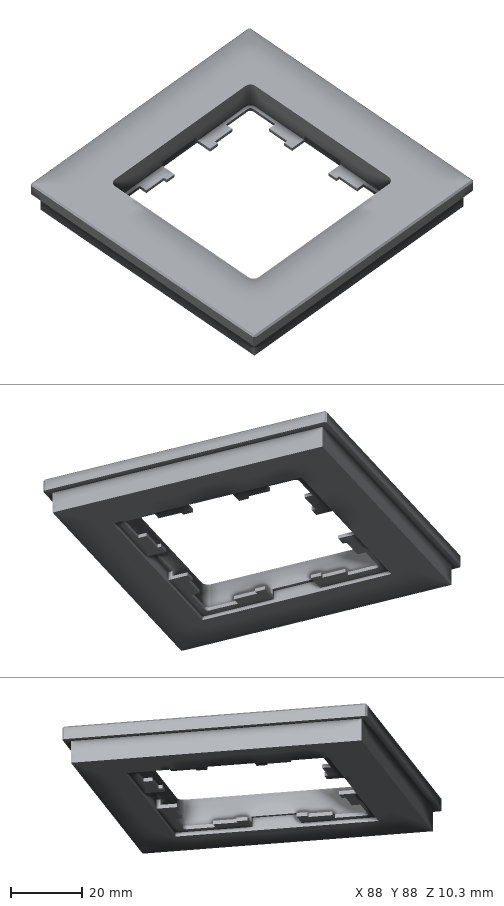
import cadquery as cq

PLATE_SIDE = 88.0
TOTAL_HEIGHT = 10.3
OPENING_SIDE = 56.2
OPENING_RADIUS = 2.0

PLATE_THICKNESS = 3.9
PLATE_CHAMFER = 0.5

FRAME_SIDE = 83.8
FRAME_HEIGHT = TOTAL_HEIGHT - PLATE_THICKNESS

LEDGE_WIDTH = 1.1
LEDGE_THICKNESS = 1.1
LEDGE_TOP = 2.2
LEDGE_BOTTOM = LEDGE_TOP - LEDGE_THICKNESS
LEDGE_RADIUS = 1.1
TAB_INNER_END = 7.1
TAB_OUTER_END = 17.25
TAB_REACH = 3.6
TAB_TIP_WIDTH = 3.1
TAB_TIP_REACH = 4.75

WIDE_LEDGE_WIDTH = 1.8

RECESS_DEPTH = 1.1
RECESS_TOP = 3.8

SIDE_ANGLES = (0, 90, 180, 270)
HALF_OPENING = OPENING_SIDE / 2


def square_prism(side, base, height, corner_radius=0.0):
    """Upright square block centred on Z, with optional round vertical edges."""
    prism = cq.Workplane("XY").workplane(offset=base).rect(side, side).extrude(height)
    if corner_radius > 0:
        prism = prism.edges("|Z").fillet(corner_radius)
    return prism


def on_every_side(feature):
    """Repeat a feature of the +Y side on all four sides."""
    return [feature.rotate((0, 0, 0), (0, 0, 1), angle) for angle in SIDE_ANGLES]


def make_tab():
    """Tab of the +Y side nearer the +X corner: an arm with a longer tip at its inner end."""
    tip_end = TAB_INNER_END + TAB_TIP_WIDTH
    outline = [
        (TAB_INNER_END, HALF_OPENING),
        (TAB_INNER_END, HALF_OPENING - TAB_TIP_REACH),
        (tip_end, HALF_OPENING - TAB_TIP_REACH),
        (tip_end, HALF_OPENING - TAB_REACH),
        (TAB_OUTER_END, HALF_OPENING - TAB_REACH),
        (TAB_OUTER_END, HALF_OPENING),
    ]
    base = cq.Workplane("XY").workplane(offset=LEDGE_BOTTOM)
    return base.polyline(outline).close().extrude(LEDGE_THICKNESS)


def make_recess():
    """Cutter for the +Y side: opens the ledge and wall between the tabs, down to the foot."""
    depth = LEDGE_WIDTH + RECESS_DEPTH
    return (
        cq.Workplane("XY")
        .center(0, HALF_OPENING - LEDGE_WIDTH + depth / 2)
        .rect(2 * TAB_INNER_END, depth)
        .extrude(RECESS_TOP)
    )


def make_plate():
    """Cover plate, chamfered on its upright and top edges, with the opening through it."""
    blank = square_prism(PLATE_SIDE, FRAME_HEIGHT, PLATE_THICKNESS)
    blank = blank.edges("|Z or >Z").chamfer(PLATE_CHAMFER)
    return blank.cut(square_prism(OPENING_SIDE, FRAME_HEIGHT, PLATE_THICKNESS, OPENING_RADIUS))


def make_ledge():
    """Thin rim inside the opening; its clear space has one side set in along the wide stretch."""
    inner_side = OPENING_SIDE - 2 * LEDGE_WIDTH
    clear_space = square_prism(inner_side, LEDGE_BOTTOM, LEDGE_THICKNESS)
    clear_space = clear_space.cut(make_wide_stretch()).edges("|Z and (<X or >X)").fillet(LEDGE_RADIUS)
    ledge = square_prism(OPENING_SIDE, LEDGE_BOTTOM, LEDGE_THICKNESS, OPENING_RADIUS)
    return ledge.cut(clear_space)


def make_wide_stretch():
    """Strip along the -Y side, from the -X -Y corner to the nearest tab."""
    length = HALF_OPENING - TAB_OUTER_END
    return (
        cq.Workplane("XY")
        .workplane(offset=LEDGE_BOTTOM)
        .center(-TAB_OUTER_END - length / 2, (WIDE_LEDGE_WIDTH - OPENING_SIDE) / 2)
        .rect(length, WIDE_LEDGE_WIDTH)
        .extrude(LEDGE_THICKNESS)
    )


def make_frame():
    """Frame under the plate: opening, undercut foot, ledge, eight tabs and four recesses."""
    frame = square_prism(FRAME_SIDE, 0, FRAME_HEIGHT)
    frame = frame.cut(square_prism(OPENING_SIDE, 0, FRAME_HEIGHT, OPENING_RADIUS))
    undercut_side = OPENING_SIDE + 2 * RECESS_DEPTH
    frame = frame.cut(square_prism(undercut_side, 0, LEDGE_BOTTOM))
    frame = frame.union(make_ledge())
    tab = make_tab()
    for tab_copy in on_every_side(tab) + on_every_side(tab.mirror("YZ")):
        frame = frame.union(tab_copy)
    for recess in on_every_side(make_recess()):
        frame = frame.cut(recess)
    return frame


plate = make_plate()
frame = make_frame()

result = cq.Compound.makeCompound([plate.val(), frame.val()])